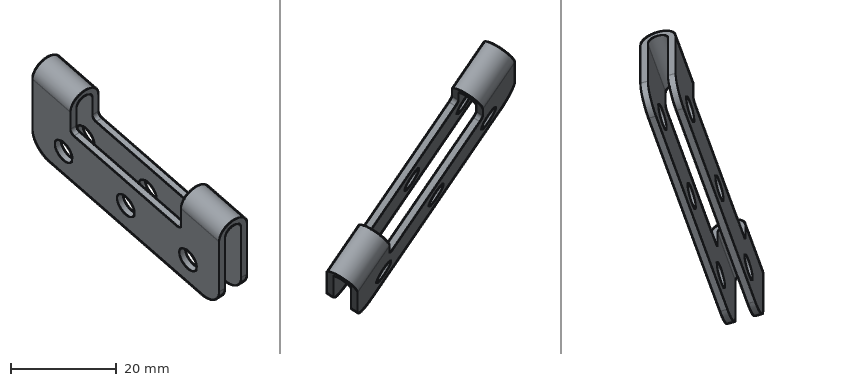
import cadquery as cq

length = 54.0
depth = 7.0
height = 23.0
sheet = 1.5

outer_radius = depth / 2
inner_radius = outer_radius - sheet
bend_height = height - outer_radius

knuckle_length = 11.0
notch_floor = 13.5
notch_radius = 1.0

corner_radius = 5.0
hole_diameter = 5.0
hole_spacing = 18.0
hole_height = 6.5
hole_count = 3


def arch(radius):
    """Solid along X with straight sides and a half-round top."""
    return (
        cq.Workplane("YZ")
        .moveTo(-radius, 0)
        .lineTo(-radius, bend_height)
        .threePointArc((0, bend_height + radius), (radius, bend_height))
        .lineTo(radius, 0)
        .close()
        .extrude(length / 2, both=True)
    )


def folded_sheet():
    """U-shaped sheet with its lower corners rounded."""
    blank = arch(outer_radius).faces("<Z").edges("|Y").fillet(corner_radius)
    return blank.cut(arch(inner_radius))


def notch():
    """Block that opens the fold between the knuckles."""
    width = length - 2 * knuckle_length
    return (
        cq.Workplane("XY")
        .workplane(offset=notch_floor)
        .box(width, depth, height - notch_floor, centered=(True, True, False))
        .faces("<Z").edges("|Y")
        .fillet(notch_radius)
    )


def mounting_holes():
    """Row of cylinders crossing both legs."""
    first_x = -hole_spacing * (hole_count - 1) / 2
    centers = [(first_x + i * hole_spacing, hole_height) for i in range(hole_count)]
    return (
        cq.Workplane("XZ")
        .pushPoints(centers)
        .circle(hole_diameter / 2)
        .extrude(depth / 2, both=True)
    )


result = folded_sheet().cut(notch()).cut(mounting_holes())